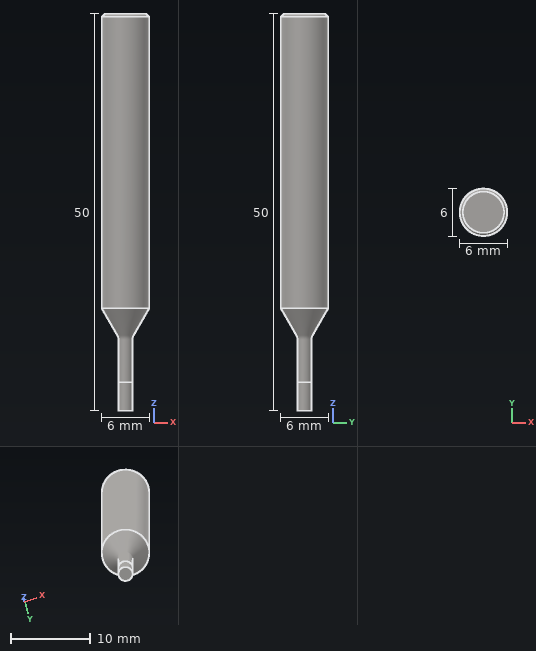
import cadquery as cq
import math

total_length = 50.0
shank_radius = 6.0 / 2
neck_radius = 1.8 / 2
tip_length = 3.6
shank_start = 12.9
cone_half_angle = math.radians(30.0)
blend_radius = 1.0
end_chamfer = 0.4

cone_start = shank_start - (shank_radius - neck_radius) / math.tan(cone_half_angle)

blend_start = cone_start - blend_radius * math.tan(cone_half_angle / 2)
blend_center_radius = neck_radius + blend_radius


def blend_point(angle):
    """Point (radius, height) on the round, turned by angle from the neck."""
    return (
        blend_center_radius - blend_radius * math.cos(angle),
        blend_start + blend_radius * math.sin(angle),
    )


def make_cutting_tip():
    """Plain cylinder at the lower end of the tool."""
    return cq.Workplane("XY").circle(neck_radius).extrude(tip_length)


def make_holder():
    """Neck, cone and chamfered shank, revolved about the Z axis."""
    profile = (
        cq.Workplane("XZ")
        .moveTo(0, tip_length)
        .lineTo(neck_radius, tip_length)
        .lineTo(neck_radius, blend_start)
        .threePointArc(blend_point(cone_half_angle / 2), blend_point(cone_half_angle))
        .lineTo(shank_radius, shank_start)
        .lineTo(shank_radius, total_length - end_chamfer)
        .lineTo(shank_radius - end_chamfer, total_length)
        .lineTo(0, total_length)
        .close()
    )
    return profile.revolve(360, (0, 0), (0, 1))


cutting_tip = make_cutting_tip()
holder = make_holder()

result = cq.Compound.makeCompound([cutting_tip.val(), holder.val()])